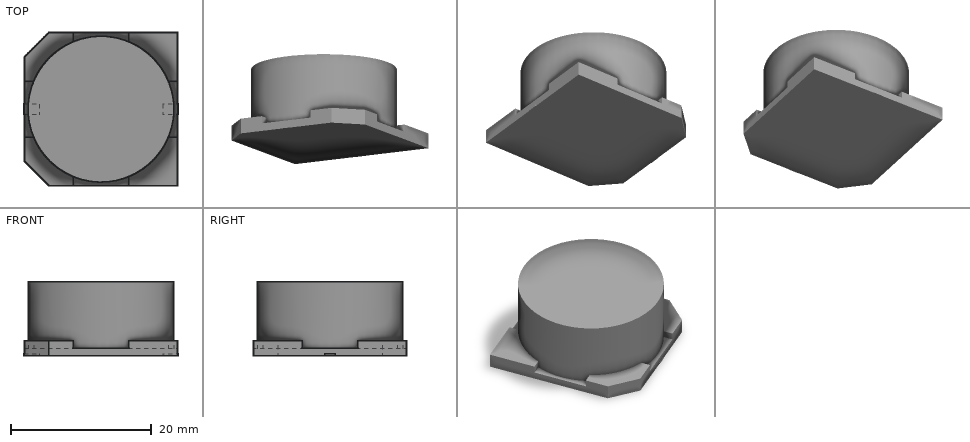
import cadquery as cq

overall_length = 21.9
base_side = 21.78
base_height = 2.15
corner_chamfer = 3.5
seat_height = 1.1
notch_width = 7.95
drum_diameter = 20.7
overall_height = 10.53
terminal_width = 1.49
terminal_thickness = 0.26
terminal_length = 2.19

terminal_sides = (-1, 1)


def make_terminal(side):
    """Flat terminal flush with the underside, its tip just past the base edge."""
    center_x = side * (overall_length - terminal_length) / 2
    return (
        cq.Workplane("XY")
        .center(center_x, 0)
        .rect(terminal_length, terminal_width)
        .extrude(terminal_thickness)
    )


def make_drum():
    """Round drum standing on the seat in the base."""
    return (
        cq.Workplane("XY", origin=(0, 0, seat_height))
        .circle(drum_diameter / 2)
        .extrude(overall_height - seat_height)
    )


def make_base(drum, terminals):
    """Square tray with two cut corners, a notch in each edge and fitted recesses."""
    base = (
        cq.Workplane("XY")
        .rect(base_side, base_side)
        .extrude(base_height)
        .edges("|Z and <X")
        .chamfer(corner_chamfer)
    )

    channels = cq.Workplane("XY", origin=(0, 0, seat_height))
    channel_depth = base_height - seat_height
    along_x = channels.rect(base_side, notch_width).extrude(channel_depth)
    along_y = channels.rect(notch_width, base_side).extrude(channel_depth)
    base = base.cut(along_x).cut(along_y)

    base = base.cut(drum)
    for terminal in terminals:
        base = base.cut(terminal)
    return base


drum = make_drum()
terminals = [make_terminal(side) for side in terminal_sides]
base = make_base(drum, terminals)

result = cq.Compound.makeCompound(
    [base.val(), drum.val(), *[terminal.val() for terminal in terminals]]
)